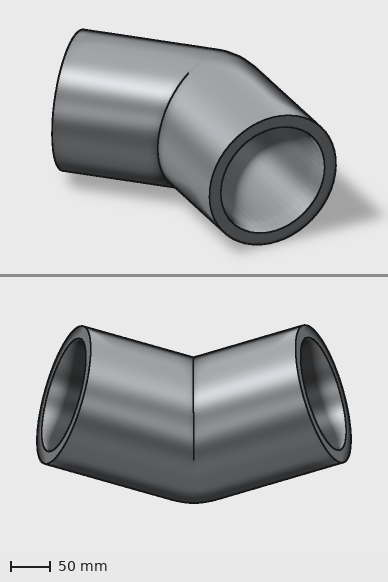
import cadquery as cq
import math

overall_length = 365.0
outer_diameter = 180.0
bore_diameter = 147.5
bend_angle = 45.0

bend = math.radians(bend_angle)
end_overhang = outer_diameter / 2 * math.sin(bend)
leg_length = (overall_length - end_overhang) / (1 + math.cos(bend))

inlet_direction = cq.Vector(-1, 0, 0)
outlet_direction = cq.Vector(math.cos(bend), -math.sin(bend), 0)


def leg(diameter, direction):
    """Round bar running from the bend centre to one end of the elbow."""
    return cq.Workplane(
        cq.Plane(origin=(0, 0, 0), xDir=(0, 0, 1), normal=direction)
    ).circle(diameter / 2).extrude(leg_length)


def bend_wedge(diameter):
    """Spherical wedge filling the gap between the legs on the outside of the bend."""
    radius = diameter / 2
    return (
        cq.Workplane("YZ")
        .moveTo(0, -radius)
        .threePointArc((radius, 0), (0, radius))
        .close()
        .revolve(bend_angle, (0, radius), (0, -radius))
    )


def solid_elbow(diameter):
    """Both legs joined through the bend, without a bore."""
    inlet = leg(diameter, inlet_direction)
    outlet = leg(diameter, outlet_direction)
    return inlet.union(outlet).union(bend_wedge(diameter))


result = solid_elbow(outer_diameter).cut(solid_elbow(bore_diameter))